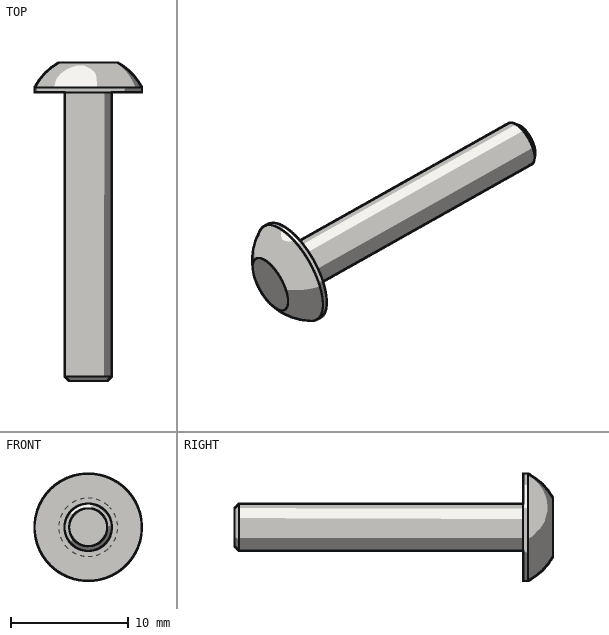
import cadquery as cq
import math

total_length = 27.17
head_diameter = 9.17
head_height = 2.57
rim_height = 0.43
crown_flat_diameter = 5.0
shank_diameter = 4.04
tip_chamfer = 0.4

head_radius = head_diameter / 2
crown_flat_radius = crown_flat_diameter / 2
shank_radius = shank_diameter / 2
shank_length = total_length - head_height


def dome_midpoint():
    """Point halfway up the dome, whose spherical surface is centred on the axis."""
    center_y = (
        crown_flat_radius**2 + head_height**2 - head_radius**2 - rim_height**2
    ) / (2 * (head_height - rim_height))
    dome_radius = math.hypot(head_radius, rim_height - center_y)
    middle_y = (rim_height + head_height) / 2
    return math.sqrt(dome_radius**2 - (middle_y - center_y) ** 2), middle_y


def make_head():
    """Domed head with a short cylindrical rim and a flat crown."""
    half_profile = (
        cq.Workplane("XY")
        .lineTo(head_radius, 0)
        .lineTo(head_radius, rim_height)
        .threePointArc(dome_midpoint(), (crown_flat_radius, head_height))
        .lineTo(0, head_height)
        .close()
    )
    return half_profile.revolve(360, (0, 0, 0), (0, 1, 0))


def make_shank():
    """Plain shank running toward -Y, chamfered at its free end."""
    return (
        cq.Workplane("XZ")
        .circle(shank_radius)
        .extrude(shank_length)
        .faces("<Y")
        .chamfer(tip_chamfer)
    )


result = make_head().union(make_shank())